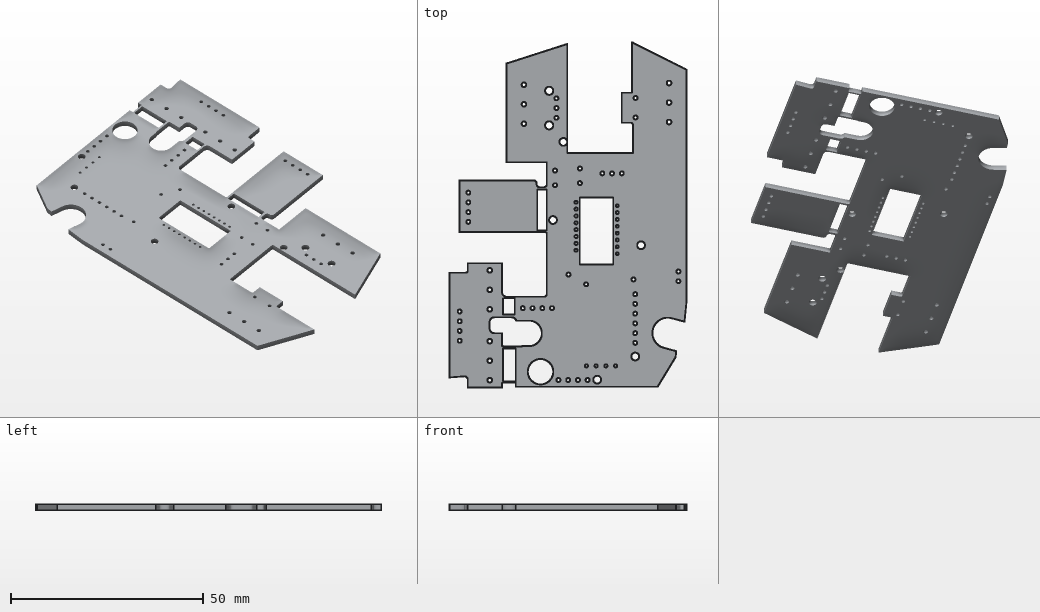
import cadquery as cq

width = 61.8
length = 89.9
thickness = 1.6

board_bottom = 0.2
board_left = 25.4
bridge_bottom = 23.65
right_edge_end = 22.5
snout_corner = (54.2, board_bottom)
snout_shoulder = (58.9, 7.9)
snout_tip = (59.1, 9.35)
notch_upper_lip = (61.25, 17.3)

left_prong_left = 14.8
left_prong_right = 30.8
left_prong_bottom = 58.6
left_prong_heights = (84.4, 89.5)
right_prong_left = 47.5
right_prong_height = 82.7
bay_bottom = 61.1
bay_right = 47.8
tab_left = 44.9
tab_bottom = 68.9
tab_top = 76.8

module_left = 2.6
module_bottom = 40.5
module_top = 54.0
module_right = 22.75
module_gap_bottom = 52.2

side_right = 13.8
side_shoulder = 4.8
side_bottom_step = 2.6
side_shoulder_bottom = 3.0
side_top_step = 29.95
side_top = 32.4
foot_notch_right = 17.3
foot_notch_top = 1.3

wheel_diameter = 6.6
wheel_hole = (23.7, 4.1)
wheel_slot_center = (20.8, 14.1)
wheel_slot_left = 13.8
wheel_slot_bottom = 10.7
wheel_slot_step = 19.0
finger_left = 10.5
finger_right = 17.45
finger_bottom = 14.2
finger_top = 18.3

notch_center = (56.8, 14.2)
notch_radius = 4.0
notch_length = 9.0
notch_tilt = -15

cutter_radius = 1.2
relief_radius = 0.8
small_radius = 0.45

fine_drill = 0.7
chip_drill = 0.76
pin_drill = 1.0
terminal_drill = 1.2
screw_drill = 2.0
motor_drill = 2.1
six_pin_length = 12.7
pin_pitch = six_pin_length / 5
terminal_pitch = 2 * pin_pitch
resistor_pitch = 1.5 * pin_pitch
chip_row_length = 12.5
chip_pitch = chip_row_length / 7
motor_screw_pitch = 9.0

outline = [
    (0, side_bottom_step),
    (0, side_top_step),
    (side_shoulder, side_top_step),
    (side_shoulder, side_top),
    (side_right, side_top),
    (side_right, bridge_bottom),
    (board_left, bridge_bottom),
    (board_left, module_bottom),
    (module_left, module_bottom),
    (module_left, module_top),
    (module_right, module_top),
    (module_right, module_gap_bottom),
    (board_left, module_gap_bottom),
    (board_left, left_prong_bottom),
    (left_prong_left, left_prong_bottom),
    (left_prong_left, left_prong_heights[0]),
    (left_prong_right, left_prong_heights[1]),
    (left_prong_right, bay_bottom),
    (bay_right, bay_bottom),
    (bay_right, tab_bottom),
    (tab_left, tab_bottom),
    (tab_left, tab_top),
    (right_prong_left, tab_top),
    (right_prong_left, length),
    (width, right_prong_height),
    (width, right_edge_end),
    notch_upper_lip,
    snout_tip,
    snout_shoulder,
    snout_corner,
    (foot_notch_right, board_bottom),
    (foot_notch_right, foot_notch_top),
    (side_right, foot_notch_top),
    (side_right, 0),
    (side_shoulder, 0),
    (side_shoulder, side_shoulder_bottom),
]

rounded_corners = [
    (side_right, bridge_bottom, cutter_radius),
    (board_left, bridge_bottom, relief_radius),
    (board_left, module_bottom, small_radius),
    (module_right, module_top, relief_radius),
    (module_right, module_gap_bottom, relief_radius),
    (board_left, module_gap_bottom, relief_radius),
    (bay_right, tab_bottom, small_radius),
    (side_shoulder, side_top_step, small_radius),
    (side_shoulder, side_shoulder_bottom, relief_radius),
]

windows = [
    (34.0, 32.1, 42.6, 49.5),
    (22.9, 41.0, board_left, 51.5),
    (14.0, 19.1, 17.0, 23.2),
    (14.0, 1.7, foot_notch_right, 10.2),
]

vertical_rows = [
    ((57.2, 74.2), 3, terminal_pitch, terminal_drill),
    ((19.4, 73.75), 3, terminal_pitch, terminal_drill),
    ((10.5, 25.45), 3, terminal_pitch, terminal_drill),
    ((10.5, 7.0), 3, terminal_pitch, terminal_drill),
    ((26.0, 72.8), 2, motor_screw_pitch, motor_drill),
    ((27.9, 72.8), 3, pin_pitch, pin_drill),
    ((48.5, 72.85), 2, terminal_pitch, pin_drill),
    ((34.0, 55.1), 2, resistor_pitch, pin_drill),
    ((27.5, 54.6), 2, resistor_pitch, pin_drill),
    ((4.95, 46.95), 4, pin_pitch, pin_drill),
    ((2.7, 16.0), 4, pin_pitch, pin_drill),
    ((59.6, 29.0), 2, pin_pitch, pin_drill),
    ((48.4, 18.0), 6, pin_pitch, pin_drill),
    ((33.0, 42.0), 8, chip_pitch, chip_drill),
    ((43.7, 41.1), 8, chip_pitch, fine_drill),
]
horizontal_rows = [
    ((42.4, 55.8), 3, pin_pitch, pin_drill),
    ((22.9, 20.7), 4, pin_pitch, pin_drill),
    ((39.5, 5.7), 4, pin_pitch, chip_drill),
    ((32.2, 2.0), 4, pin_pitch, pin_drill),
]
single_pins = [(31.0, 29.4), (35.6, 26.9), (47.9, 28.15)]
screw_holes = [(29.7, 63.95), (27.0, 43.6), (49.9, 37.1), (48.4, 8.1), (38.5, 2.1)]


def block(left, bottom, right, top):
    """Full-thickness box between two opposite corners."""
    box = cq.Workplane("XY").box(right - left, top - bottom, thickness, centered=False)
    return box.translate((left, bottom, 0))


def cylinders(centers, diameter):
    """Full-thickness cylinders at the given centers."""
    return cq.Workplane("XY").pushPoints(centers).circle(diameter / 2).extrude(thickness)


def round_corner(body, x, y, radius):
    """Round the upright edge that stands at (x, y)."""
    reach = 0.045
    low = (x - reach, y - reach, -reach)
    high = (x + reach, y + reach, thickness + reach)
    return body.edges("|Z").edges(cq.selectors.BoxSelector(low, high)).fillet(radius)


def row_offsets(count, pitch):
    """Positions of evenly spaced holes, measured from the middle of their row."""
    return [(i - (count - 1) / 2) * pitch for i in range(count)]


def wheel_slot():
    """Round-ended wheel opening with a side finger."""
    center_x, center_y = wheel_slot_center
    radius = wheel_diameter / 2
    slot = block(wheel_slot_left, center_y - radius, center_x, center_y + radius)
    slot = slot.union(cylinders([wheel_slot_center], wheel_diameter))
    deep_part = block(wheel_slot_left, wheel_slot_bottom, wheel_slot_step, center_y)
    deep_part = round_corner(deep_part, wheel_slot_left, wheel_slot_bottom, small_radius)
    slot = slot.union(deep_part)
    finger = block(finger_left, finger_bottom, finger_right, finger_top).edges("|Z").fillet(cutter_radius)
    return slot.union(finger)


def side_notch():
    """Round-bottomed notch, tilted downwards and open to the right."""
    x, y = notch_center
    notch = block(x, y - notch_radius, x + notch_length, y + notch_radius)
    notch = notch.union(cylinders([notch_center], 2 * notch_radius))
    return notch.rotate((x, y, 0), (x, y, 1), notch_tilt)


result = cq.Workplane("XY").polyline(outline).close().extrude(thickness)
for corner_x, corner_y, corner_radius in rounded_corners:
    result = round_corner(result, corner_x, corner_y, corner_radius)

for window in windows:
    result = result.cut(block(*window))
result = result.cut(wheel_slot())
result = result.cut(cylinders([wheel_hole], wheel_diameter))
result = result.cut(side_notch())

for (row_x, row_y), hole_count, hole_pitch, drill in vertical_rows:
    centers = [(row_x, row_y + offset) for offset in row_offsets(hole_count, hole_pitch)]
    result = result.cut(cylinders(centers, drill))
for (row_x, row_y), hole_count, hole_pitch, drill in horizontal_rows:
    centers = [(row_x + offset, row_y) for offset in row_offsets(hole_count, hole_pitch)]
    result = result.cut(cylinders(centers, drill))
result = result.cut(cylinders(single_pins, pin_drill))
result = result.cut(cylinders(screw_holes, screw_drill))